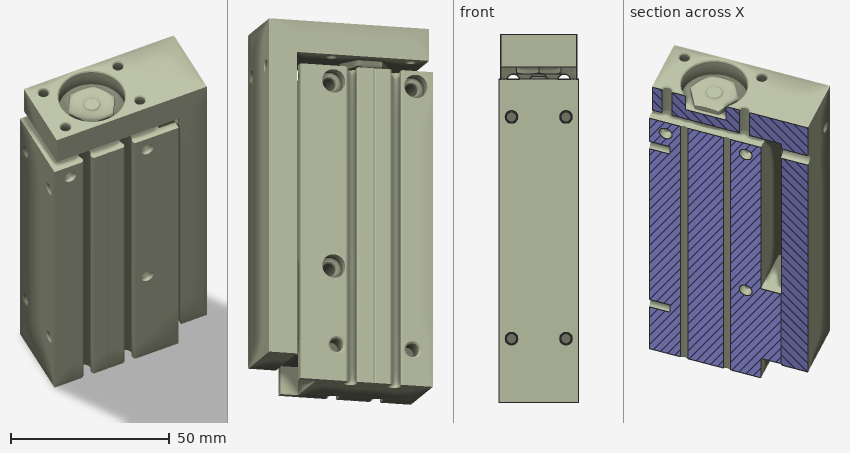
import cadquery as cq
import math


HOUSING_WIDTH = 25.0
HOUSING_DEPTH = 43.4
HOUSING_HEIGHT = 102.0
AXIS_Y = 19.0

GROOVE_OFFSET_Y = 7.2
GROOVE_WIDTH = 3.0
GROOVE_NECK_DEPTH = 1.6
GROOVE_BORE_DIAMETER = 4.0
GROOVE_CHAMFER = 0.6
MARK_WIDTH = 0.7
MARK_DEPTH = 0.2

MOUNT_DIAMETER = 4.2
MOUNT_MOUTH_DIAMETER = 5.0
MOUNT_BORE_DIAMETER = 7.5
MOUNT_BORE_DEPTH = 5.0
MOUNT_OFFSET_Y = 13.5
MOUNT_UPPER_Z = 97.0
MOUNT_LOWER_Z = 37.0

PORT_DIAMETER = 4.4
PORT_MOUTH_DIAMETER = 5.5
PORT_OFFSET_Y = 12.4
PORT_Z = 11.6
PORT_DEPTH = 7.0

SCREW_DIAMETER = 3.2
SCREW_MOUTH_DIAMETER = 4.0
FRONT_SCREW_X = 8.6
FRONT_SCREW_Z = (20.2, 90.0)
FRONT_SCREW_DEPTH = 7.0

CHANNEL_WIDTH = 20.0
CHANNEL_FLOOR_Y = 37.7
GAP = 1.0
GUIDE_BOTTOM = 8.6
GUIDE_HEIGHT = 31.0
GUIDE_WIDTH = 17.4
GUIDE_END_LENGTH = 5.2
GUIDE_END_WIDTH = 16.2

TABLE_WIDTH = 24.0
TABLE_TOP = 116.0
TABLE_BOTTOM = 8.0
TABLE_FRONT = 1.0
TABLE_BACK = 53.5
LEG_FRONT = HOUSING_DEPTH + GAP
PLATE_THICKNESS = 10.3
TABLE_HOLE_X = 8.0
PLATE_SCREW_OFFSET_Y = 13.0
LEG_HOLE_DIAMETER = 4.0
LEG_HOLE_Z = 101.5

RECESS_DIAMETER = 21.0
RECESS_DEPTH = 6.0
RECESS_CHAMFER = 0.3

ROD_DIAMETER = 6.0
NECK_DIAMETER = 4.4
ROD_TIP_DIAMETER = 5.5
ROD_TIP_HEIGHT = 0.3
NUT_ACROSS_FLATS = 13.9
NUT_SIDES = 6
HALF_CORNER_ANGLE = 180 / NUT_SIDES
NUT_CORNER_DIAMETER = NUT_ACROSS_FLATS / math.cos(math.radians(HALF_CORNER_ANGLE))
NUT_BOTTOM = 103.5
NUT_TOP = 112.0
NUT_CHAMFER_ANGLE = 20.0


def box(x_size, y_min, y_max, z_min, z_max):
    """Block centred on X = 0."""
    size = (x_size, y_max - y_min, z_max - z_min)
    return cq.Workplane("XY").box(*size, centered=(True, False, False)).translate((0, y_min, z_min))


def drill(start, direction, diameter, depth):
    """Cylinder that starts at a surface point and runs into the material."""
    cylinder_solid = cq.Solid.makeCylinder(diameter / 2, depth, cq.Vector(*start), cq.Vector(*direction))
    return cq.Workplane(cylinder_solid)


def chamfered_drill(start, direction, diameter, mouth_diameter, depth):
    """Drill with a 45 degree chamfer at its mouth."""
    chamfer = (mouth_diameter - diameter) / 2
    mouth = cq.Solid.makeCone(
        mouth_diameter / 2, diameter / 2, chamfer, cq.Vector(*start), cq.Vector(*direction)
    )
    return drill(start, direction, diameter, depth).union(cq.Workplane(mouth))


def sensor_groove(y):
    """Keyhole groove on the -X side over the full height: chamfered lips, a neck and a round bore."""
    face = -HOUSING_WIDTH / 2
    half = GROOVE_WIDTH / 2
    lip = half + GROOVE_CHAMFER
    bore_radius = GROOVE_BORE_DIAMETER / 2
    neck_end = face + GROOVE_NECK_DEPTH
    bore_centre = neck_end + math.sqrt(bore_radius**2 - half**2)
    return (
        cq.Workplane("XY")
        .moveTo(face, y - lip)
        .lineTo(face + GROOVE_CHAMFER, y - half)
        .lineTo(neck_end, y - half)
        .threePointArc((bore_centre + bore_radius, y), (neck_end, y + half))
        .lineTo(face + GROOVE_CHAMFER, y + half)
        .lineTo(face, y + lip)
        .close()
        .extrude(HOUSING_HEIGHT)
    )


def centre_mark():
    """Shallow V along the -X side, in line with the rod axis."""
    face = -HOUSING_WIDTH / 2
    half = MARK_WIDTH / 2
    corners = [(face, AXIS_Y - half), (face + MARK_DEPTH, AXIS_Y), (face, AXIS_Y + half)]
    return cq.Workplane("XY").polyline(corners).close().extrude(HOUSING_HEIGHT)


def mounting_hole(y, z):
    """Counterbored hole along X; the narrow part runs right through."""
    face = -HOUSING_WIDTH / 2
    inward = (1, 0, 0)
    bore = drill((face, y, z), inward, MOUNT_BORE_DIAMETER, MOUNT_BORE_DEPTH)
    floor = (face + MOUNT_BORE_DEPTH, y, z)
    hole = chamfered_drill(floor, inward, MOUNT_DIAMETER, MOUNT_MOUTH_DIAMETER, HOUSING_WIDTH)
    return bore.union(hole)


def nut_hexagon(bottom, top):
    """Hexagonal prism on the rod axis with two corners in the plane X = 0."""
    prism = cq.Workplane("XY").polygon(NUT_SIDES, NUT_CORNER_DIAMETER).extrude(top - bottom)
    return prism.rotate((0, 0, 0), (0, 0, 1), HALF_CORNER_ANGLE).translate((0, AXIS_Y, bottom))


def hexagon_nut():
    """Nut whose corners are chamfered by a cone at both ends."""
    flat_radius = NUT_ACROSS_FLATS / 2
    corner_radius = NUT_CORNER_DIAMETER / 2
    drop = (corner_radius - flat_radius) * math.tan(math.radians(NUT_CHAMFER_ANGLE))
    envelope = (
        cq.Workplane("XZ")
        .polyline([
            (0, NUT_BOTTOM),
            (flat_radius, NUT_BOTTOM),
            (corner_radius, NUT_BOTTOM + drop),
            (corner_radius, NUT_TOP - drop),
            (flat_radius, NUT_TOP),
            (0, NUT_TOP),
        ])
        .close()
        .revolve(360, (0, 0), (0, 1))
        .translate((0, AXIS_Y, 0))
    )
    return nut_hexagon(NUT_BOTTOM, NUT_TOP).intersect(envelope)


def piston_rod():
    """Rod end that tapers to a neck above the housing and shows its tip above the nut."""
    taper = (ROD_DIAMETER - NECK_DIAMETER) / 2
    neck_base = HOUSING_HEIGHT + taper
    upward = (0, 0, 1)
    cone = cq.Solid.makeCone(
        ROD_DIAMETER / 2, NECK_DIAMETER / 2, taper, cq.Vector(0, AXIS_Y, HOUSING_HEIGHT)
    )
    neck = drill((0, AXIS_Y, neck_base), upward, NECK_DIAMETER, NUT_TOP - neck_base)
    tip_radius = ROD_TIP_DIAMETER / 2
    tip = cq.Solid.makeCone(
        tip_radius, tip_radius - ROD_TIP_HEIGHT, ROD_TIP_HEIGHT, cq.Vector(0, AXIS_Y, NUT_TOP)
    )
    return neck.union(cq.Workplane(cone)).union(cq.Workplane(tip))


def guide_block():
    """Guide block that stands on the channel floor, with a narrower cap at each end."""
    top = GUIDE_BOTTOM + GUIDE_HEIGHT
    caps = box(GUIDE_END_WIDTH, CHANNEL_FLOOR_Y, LEG_FRONT, GUIDE_BOTTOM, top)
    middle = box(
        GUIDE_WIDTH, CHANNEL_FLOOR_Y, LEG_FRONT, GUIDE_BOTTOM + GUIDE_END_LENGTH, top - GUIDE_END_LENGTH
    )
    return caps.union(middle)


def make_cylinder():
    """Housing with its guide block, piston rod and nut."""
    body = box(HOUSING_WIDTH, 0, HOUSING_DEPTH, 0, HOUSING_HEIGHT)

    body = body.cut(box(CHANNEL_WIDTH, CHANNEL_FLOOR_Y, HOUSING_DEPTH, 0, HOUSING_HEIGHT))

    side_cuts = [
        sensor_groove(AXIS_Y - GROOVE_OFFSET_Y),
        sensor_groove(AXIS_Y + GROOVE_OFFSET_Y),
        centre_mark(),
    ]
    for side_cut in side_cuts:
        body = body.cut(side_cut).cut(side_cut.mirror("YZ"))

    mounts = [
        (AXIS_Y - MOUNT_OFFSET_Y, MOUNT_UPPER_Z),
        (AXIS_Y + MOUNT_OFFSET_Y, MOUNT_UPPER_Z),
        (AXIS_Y + MOUNT_OFFSET_Y, MOUNT_LOWER_Z),
    ]
    for y, z in mounts:
        body = body.cut(mounting_hole(y, z))

    for side in (-1, 1):
        start = (-HOUSING_WIDTH / 2, AXIS_Y + side * PORT_OFFSET_Y, PORT_Z)
        body = body.cut(chamfered_drill(start, (1, 0, 0), PORT_DIAMETER, PORT_MOUTH_DIAMETER, PORT_DEPTH))

    for side in (-1, 1):
        for z in FRONT_SCREW_Z:
            start = (side * FRONT_SCREW_X, 0, z)
            body = body.cut(
                chamfered_drill(start, (0, 1, 0), SCREW_DIAMETER, SCREW_MOUTH_DIAMETER, FRONT_SCREW_DEPTH)
            )

    return body.union(guide_block()).union(piston_rod()).union(hexagon_nut())


def make_table():
    """L-shaped table: a top plate over the housing and a leg down its back."""
    plate = box(TABLE_WIDTH, TABLE_FRONT, TABLE_BACK, TABLE_TOP - PLATE_THICKNESS, TABLE_TOP)
    leg = box(TABLE_WIDTH, LEG_FRONT, TABLE_BACK, TABLE_BOTTOM, TABLE_TOP)
    body = plate.union(leg)

    downward = (0, 0, -1)
    centre = (0, AXIS_Y, TABLE_TOP)
    mouth_diameter = RECESS_DIAMETER + 2 * RECESS_CHAMFER
    body = body.cut(chamfered_drill(centre, downward, RECESS_DIAMETER, mouth_diameter, RECESS_DEPTH))
    body = body.cut(nut_hexagon(TABLE_TOP - PLATE_THICKNESS, TABLE_TOP))

    for side in (-1, 1):
        for row in (-1, 1):
            start = (side * TABLE_HOLE_X, AXIS_Y + row * PLATE_SCREW_OFFSET_Y, TABLE_TOP)
            body = body.cut(
                chamfered_drill(start, downward, SCREW_DIAMETER, SCREW_MOUTH_DIAMETER, PLATE_THICKNESS)
            )
        start = (side * TABLE_HOLE_X, LEG_FRONT, LEG_HOLE_Z)
        body = body.cut(drill(start, (0, 1, 0), LEG_HOLE_DIAMETER, TABLE_BACK - LEG_FRONT))
    return body


cylinder = make_cylinder()
table = make_table()
result = cq.Compound.makeCompound([cylinder.solids().val(), table.solids().val()])